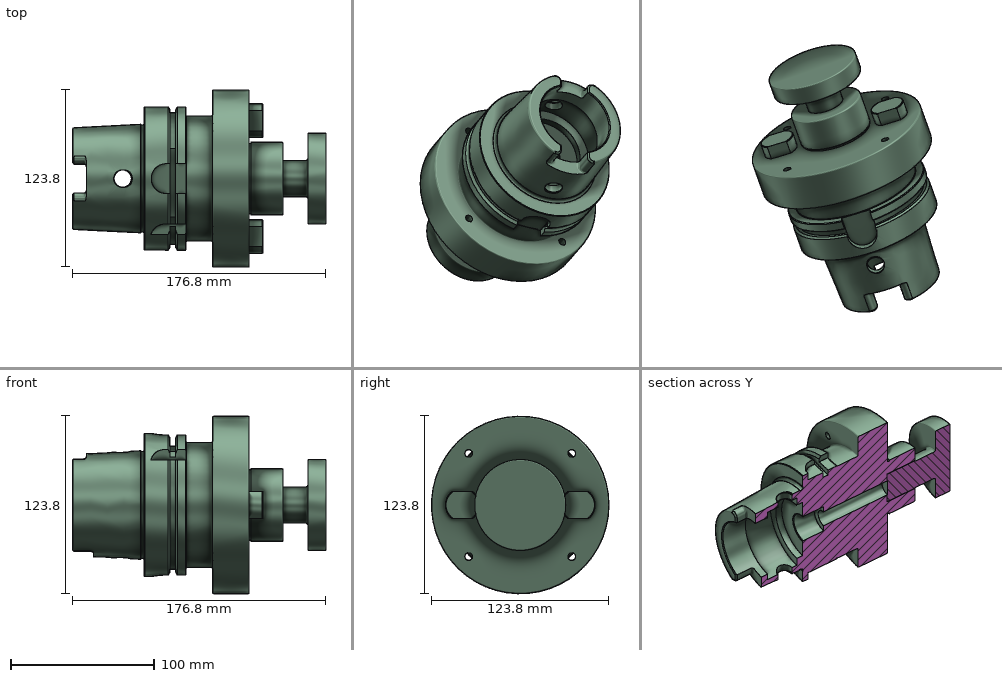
import cadquery as cq
import math


overall_length = 176.8
shank_length = 50.0
shank_big_radius = 37.9
taper_per_radius = 1 / 20
relief_length = 2.6
relief_radius = 37.4
relief_fillet = 1.5
face_recess_radius = 39.6
face_recess_depth = 0.3
relief_chamfer = shank_big_radius - relief_radius
shank_tip_radius = shank_big_radius - taper_per_radius * (shank_length - relief_length)
shank_tip_fillet = 1.5
shank_tip_x = -shank_length

bore_diameter = 53.0
bore_mouth_chamfer = 0.7
bore_length = 20.0
recess_diameter = 63.0
recess_start_x = shank_tip_x + bore_length
recess_end_x = -5.0
bore_end_diameter = 49.8
bore_floor_x = 0.0
thread_diameter = 22.38
thread_mouth_diameter = 23.44
thread_chamfer = (thread_mouth_diameter - thread_diameter) / 2
thread_depth = 18.0
coolant_diameter = 12.75

tip_slot_half_width = 10.0
tip_slot_edge_radius = 4.0
tip_slot_floor_fillet = 1.7
tip_slot_mouth_chamfer = 1.2
top_slot_depth = 9.6
bottom_slot_depth = 14.6
access_hole_diameter = 12.0
access_hole_mouth_diameter = 13.39
access_hole_x = -15.0

flange_radius = 50.0
flange_length = 29.2
flange_chamfer = 0.4
flange_back_chamfer = 0.6
groove_start_x = 17.8
groove_end_x = 21.8
groove_floor_radius = 46.0
groove_front_chamfer_x = 1.1
groove_front_chamfer_r = 1.8
groove_back_chamfer_x = 1.3
groove_back_chamfer_r = 2.3
groove_flat_distance = 39.3
groove_flat_tilt = 4.3

keyway_radius = 10.4
keyway_centre_x = 15.3
keyway_floor_z = 44.0
notch_wall_y = -31.7
notch_floor_z = 31.5
notch_cutter_radius = 10.3
notch_centre_x = 14.5

collar_radius = 43.65
disc_radius = 123.83 / 2
disc_start_x = 47.6
disc_end_x = 73.2
disc_fillet = 1.0
collar_fillet = 0.8
collar_root_fillet = 0.4
pilot_radius = 50.8 / 2
pilot_relief_radius = 49.28 / 2
pilot_relief_length = 1.4
pilot_end_x = 96.8
pilot_end_fillet = 1.0
disc_hole_diameter = 5.2
disc_hole_circle_radius = 50.8
disc_hole_count = 4
disc_hole_start_angle = 45

screw_shank_diameter = 25.4
screw_head_diameter = 63.5
screw_head_start_x = 114.1
screw_end_x = shank_tip_x + overall_length
screw_head_fillet = 0.8
screw_neck_fillet = 1.5
screw_hole_depth = 24.0

key_width = 19.05
key_diameter = 23.7
key_height = 9.5
key_centre_y = 40.4
key_chamfer = 0.5


def disc(radius, start_x, end_x):
    return cq.Workplane("YZ", origin=(start_x, 0, 0)).circle(radius).extrude(end_x - start_x)


def cone(start_radius, end_radius, length, origin, direction):
    return cq.Workplane(
        cq.Solid.makeCone(start_radius, end_radius, length, cq.Vector(*origin), cq.Vector(*direction))
    )


def outer_body():
    groove_front_x = groove_start_x - groove_front_chamfer_x
    groove_back_x = groove_end_x + groove_back_chamfer_x
    pilot_start_x = disc_end_x + pilot_relief_length
    half_turn = (
        cq.Workplane("XY")
        .moveTo(shank_tip_x, 0)
        .lineTo(shank_tip_x, shank_tip_radius - shank_tip_fillet)
        .radiusArc((shank_tip_x + shank_tip_fillet, shank_tip_radius), shank_tip_fillet)
        .lineTo(-relief_length, shank_big_radius)
        .lineTo(relief_chamfer - relief_length, relief_radius)
        .lineTo(face_recess_depth - relief_fillet, relief_radius)
        .radiusArc((face_recess_depth, relief_radius + relief_fillet), -relief_fillet)
        .lineTo(face_recess_depth, face_recess_radius)
        .lineTo(0, face_recess_radius)
        .lineTo(0, flange_radius - flange_chamfer)
        .lineTo(flange_chamfer, flange_radius)
        .lineTo(groove_front_x, flange_radius)
        .lineTo(groove_start_x, flange_radius - groove_front_chamfer_r)
        .lineTo(groove_start_x, groove_floor_radius)
        .lineTo(groove_end_x, groove_floor_radius)
        .lineTo(groove_end_x, flange_radius - groove_back_chamfer_r)
        .lineTo(groove_back_x, flange_radius)
        .lineTo(flange_length - flange_back_chamfer, flange_radius)
        .lineTo(flange_length, flange_radius - flange_back_chamfer)
        .lineTo(flange_length, collar_radius + collar_root_fillet)
        .radiusArc((flange_length + collar_root_fillet, collar_radius), -collar_root_fillet)
        .lineTo(disc_start_x - collar_fillet, collar_radius)
        .radiusArc((disc_start_x, collar_radius + collar_fillet), -collar_fillet)
        .lineTo(disc_start_x, disc_radius - disc_fillet)
        .radiusArc((disc_start_x + disc_fillet, disc_radius), disc_fillet)
        .lineTo(disc_end_x - disc_fillet, disc_radius)
        .radiusArc((disc_end_x, disc_radius - disc_fillet), disc_fillet)
        .lineTo(disc_end_x, pilot_relief_radius)
        .lineTo(pilot_start_x, pilot_relief_radius)
        .lineTo(pilot_start_x, pilot_radius)
        .lineTo(pilot_end_x - pilot_end_fillet, pilot_radius)
        .radiusArc((pilot_end_x, pilot_radius - pilot_end_fillet), pilot_end_fillet)
        .lineTo(pilot_end_x, 0)
        .close()
    )
    return half_turn.revolve(360, (0, 0, 0), (1, 0, 0))


def shank_bore():
    along_x = (1, 0, 0)
    screw_hole_x = pilot_end_x - screw_hole_depth
    bore_radius = bore_diameter / 2
    bore = disc(bore_radius, shank_tip_x, recess_start_x)
    mouth_radius = bore_radius + bore_mouth_chamfer
    bore = bore.union(cone(mouth_radius, bore_radius, bore_mouth_chamfer, (shank_tip_x, 0, 0), along_x))
    bore = bore.union(disc(recess_diameter / 2, recess_start_x, recess_end_x))
    bore = bore.union(disc(bore_end_diameter / 2, recess_end_x, bore_floor_x))
    bore = bore.union(disc(thread_diameter / 2, bore_floor_x, bore_floor_x + thread_depth))
    bore = bore.union(
        cone(thread_mouth_diameter / 2, thread_diameter / 2, thread_chamfer, (bore_floor_x, 0, 0), along_x)
    )
    bore = bore.union(disc(coolant_diameter / 2, bore_floor_x, screw_hole_x))
    return bore.union(disc(screw_shank_diameter / 2, screw_hole_x, pilot_end_x))


def tip_slot_outline(half_width, edge_radius):
    """Slot through the +Z wall of the shank, with long edges rounded into the taper."""
    centre_y = half_width + edge_radius
    centre_distance = shank_tip_radius - tip_slot_edge_radius
    centre_z = math.sqrt(centre_distance**2 - centre_y**2)
    end_angle = math.atan2(centre_z, centre_y)
    mid_angle = (math.pi + end_angle) / 2
    mid_y = centre_y + edge_radius * math.cos(mid_angle)
    mid_z = centre_z + edge_radius * math.sin(mid_angle)
    end_y = centre_y + edge_radius * math.cos(end_angle)
    end_z = centre_z + edge_radius * math.sin(end_angle)
    return (
        cq.Workplane("YZ", origin=(shank_tip_x, 0, 0))
        .moveTo(-half_width, 0)
        .lineTo(half_width, 0)
        .lineTo(half_width, centre_z)
        .threePointArc((mid_y, mid_z), (end_y, end_z))
        .lineTo(end_y, flange_radius)
        .lineTo(-end_y, flange_radius)
        .lineTo(-end_y, end_z)
        .threePointArc((-mid_y, mid_z), (-half_width, centre_z))
        .close()
    )


def tip_slot(depth):
    """Slot with a filleted floor and a chamfered mouth."""
    slot = (
        tip_slot_outline(tip_slot_half_width, tip_slot_edge_radius)
        .extrude(depth)
        .faces(">X")
        .edges("|Z or %CIRCLE")
        .fillet(tip_slot_floor_fillet)
    )
    mouth = tip_slot_outline(
        tip_slot_half_width + tip_slot_mouth_chamfer,
        tip_slot_edge_radius - tip_slot_mouth_chamfer,
    ).extrude(tip_slot_mouth_chamfer, taper=45)
    return slot.union(mouth)


def access_hole():
    """Radial hole through both walls of the shank, with a countersink at each mouth."""
    mouth_z = shank_big_radius + taper_per_radius * (access_hole_x + relief_length)
    chamfer = (access_hole_mouth_diameter - access_hole_diameter) / 2
    hole = (
        cq.Workplane("XY", origin=(access_hole_x, 0, 0))
        .circle(access_hole_diameter / 2)
        .extrude(flange_radius, both=True)
    )
    for side in (1, -1):
        hole = hole.union(
            cone(
                access_hole_mouth_diameter / 2,
                access_hole_diameter / 2,
                chamfer,
                (access_hole_x, 0, side * mouth_z),
                (0, 0, -side),
            )
        )
    return hole


def round_ended_slot(centre_x, centre_y, floor_z, radius):
    """Slot milled down to floor_z, with a round end at centre_x and open toward the collar."""
    height = flange_radius - floor_z
    run_out = flange_length - centre_x
    floor = cq.Workplane("XY", origin=(centre_x, centre_y, floor_z))
    round_end = floor.circle(radius).extrude(height)
    straight = floor.center(run_out / 2, 0).rect(run_out, 2 * radius).extrude(height)
    return round_end.union(straight)


def flange_keyway():
    return round_ended_slot(keyway_centre_x, 0, keyway_floor_z, keyway_radius)


def corner_notch():
    """Notch on the -Y +Z side of the flange, with a flat floor and a flat wall."""
    centre_y = notch_wall_y - notch_cutter_radius
    return round_ended_slot(notch_centre_x, centre_y, notch_floor_z, notch_cutter_radius)


def groove_flat():
    """Tilted flat milled into the groove floor near +Z."""
    height = flange_radius - groove_flat_distance
    return (
        cq.Workplane("XY")
        .box(groove_end_x - groove_start_x, 2 * flange_radius, height, centered=(False, True, False))
        .translate((groove_start_x, 0, groove_flat_distance))
        .rotate((0, 0, 0), (1, 0, 0), groove_flat_tilt)
    )


def disc_holes():
    return (
        cq.Workplane("YZ", origin=(disc_start_x, 0, 0))
        .polarArray(disc_hole_circle_radius, disc_hole_start_angle, 360, disc_hole_count)
        .circle(disc_hole_diameter / 2)
        .extrude(disc_end_x - disc_start_x)
    )


def make_housing():
    def opposite(tool):
        return tool.rotate((0, 0, 0), (1, 0, 0), 180)

    body = outer_body()
    body = body.cut(tip_slot(top_slot_depth)).cut(opposite(tip_slot(bottom_slot_depth)))
    body = body.cut(shank_bore()).cut(access_hole())
    body = body.cut(flange_keyway()).cut(opposite(flange_keyway()))
    body = body.cut(corner_notch()).cut(groove_flat())
    return body.cut(disc_holes())


def make_screw():
    shank_radius = screw_shank_diameter / 2
    head_radius = screw_head_diameter / 2
    shank = disc(shank_radius, pilot_end_x - screw_hole_depth, screw_head_start_x)
    head = disc(head_radius, screw_head_start_x, screw_end_x).edges().fillet(screw_head_fillet)
    neck = (
        cq.Workplane("XY")
        .moveTo(screw_head_start_x, 0)
        .lineTo(screw_head_start_x - screw_neck_fillet, 0)
        .lineTo(screw_head_start_x - screw_neck_fillet, shank_radius)
        .radiusArc((screw_head_start_x, shank_radius + screw_neck_fillet), -screw_neck_fillet)
        .close()
        .revolve(360, (0, 0, 0), (1, 0, 0))
    )
    return shank.union(head).union(neck)


def make_key(side):
    """Round key with two flats, its outer rim chamfered."""
    base = cq.Workplane("YZ", origin=(disc_end_x, side * key_centre_y, 0))
    round_blank = base.circle(key_diameter / 2).extrude(key_height).faces(">X").edges().chamfer(key_chamfer)
    return round_blank.intersect(base.rect(key_diameter, key_width).extrude(key_height))


housing = make_housing()
screw = make_screw()
keys = [make_key(side) for side in (1, -1)]

result = cq.Compound.makeCompound([housing.val(), screw.val(), *[key.val() for key in keys]])